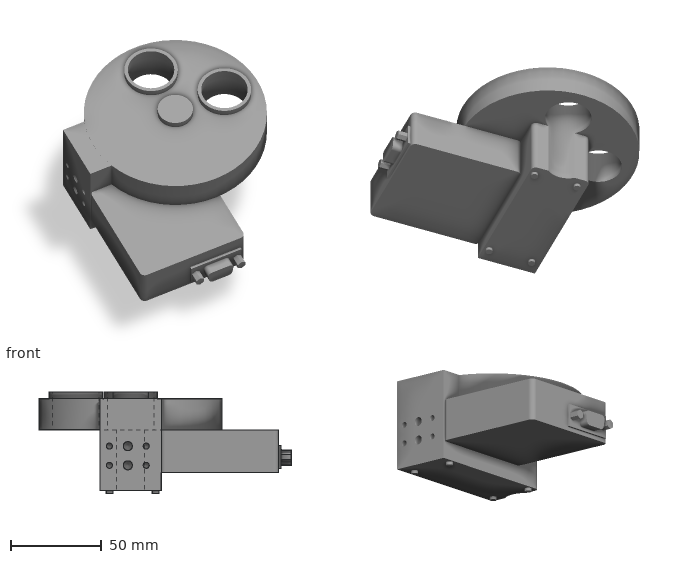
import cadquery as cq
import math


OVERALL_LENGTH = 139.2

WHEEL_RADIUS = 50.5
WHEEL_BOTTOM = 33.4
WHEEL_TOP = 50.7
BOSS_TOP = 54.5
PORT_ORBIT = 30.2
PORT_ANGLES = (90, 180)
PORT_RADIUS = 12.8
COLLAR_RADIUS = 14.8
HUB_RADIUS = 9.7

BLOCK_WIDTH = 34.0
FRONT_Y = -60.7
BLOCK_REAR_Y = 20.0
CORNER_RADIUS = 2.9

HOLE_ROWS = (13.9, 24.5)
SMALL_HOLE_X = (-11.7, 8.6)
SMALL_HOLE_RADIUS = 1.7
LARGE_HOLE_X = -1.5
LARGE_HOLE_RADIUS = 2.5
HOLE_DEPTH = 7.0
DRILL_TIP_ANGLE = 118

FOOT_RADIUS = 2.0
FOOT_HEIGHT = 1.7
FOOT_X = (-11.5, 13.8)
FOOT_Y = (-52.0, 14.5)

BOX_LEFT = 16.4
BOX_RIGHT = 81.7
BOX_BOTTOM = 9.9
BOX_REAR_Y = 2.8

CONNECTOR_Y = -15.7
CONNECTOR_Z = 18.5
FLANGE_LENGTH = 30.9
FLANGE_HEIGHT = 12.8
FLANGE_THICKNESS = 1.4
CONNECTOR_END = OVERALL_LENGTH - WHEEL_RADIUS
SHELL_LENGTH = 16.4
SHELL_HEIGHT = 8.4
SHELL_Z = 18.1
SHELL_SLANT = 10
SHELL_CORNER_RADIUS = 2.4
SHELL_ROOT_RADIUS = 0.3
POST_SIDES = 6
POST_SPACING = 25.3
POST_ACROSS_FLATS = 4.6


def cylinder(radius, bottom, top, x=0, y=0):
    """Upright cylinder between two heights."""
    return cq.Workplane("XY", origin=(x, y, bottom)).circle(radius).extrude(top - bottom)


def port_centers():
    """Centres of the two light ports around the wheel axis."""
    return [
        (PORT_ORBIT * math.cos(math.radians(angle)), PORT_ORBIT * math.sin(math.radians(angle)))
        for angle in PORT_ANGLES
    ]


def build_wheel():
    """Disc with a central hub and a raised collar around each port."""
    wheel = cylinder(WHEEL_RADIUS, WHEEL_BOTTOM, WHEEL_TOP)
    wheel = wheel.union(cylinder(HUB_RADIUS, WHEEL_TOP, BOSS_TOP))
    for x, y in port_centers():
        wheel = wheel.union(cylinder(COLLAR_RADIUS, WHEEL_TOP, BOSS_TOP, x, y))
        wheel = wheel.cut(cylinder(PORT_RADIUS, WHEEL_BOTTOM, BOSS_TOP, x, y))
    return wheel


def build_block():
    """Tall block with rounded rear corners and a seat for the wheel."""
    block = (
        cq.Workplane("XY")
        .center(0, (FRONT_Y + BLOCK_REAR_Y) / 2)
        .rect(BLOCK_WIDTH, BLOCK_REAR_Y - FRONT_Y)
        .extrude(WHEEL_TOP)
        .edges("|Z and >Y")
        .fillet(CORNER_RADIUS)
    )
    return block.cut(cylinder(WHEEL_RADIUS, WHEEL_BOTTOM, WHEEL_TOP))


def build_box():
    """Flat box with rounded upright edges, level with the underside of the wheel."""
    return (
        cq.Workplane("XY", origin=(0, 0, BOX_BOTTOM))
        .center((BOX_LEFT + BOX_RIGHT) / 2, (FRONT_Y + BOX_REAR_Y) / 2)
        .rect(BOX_RIGHT - BOX_LEFT, BOX_REAR_Y - FRONT_Y)
        .extrude(WHEEL_BOTTOM - BOX_BOTTOM)
        .edges("|Z")
        .fillet(CORNER_RADIUS)
    )


def build_connector():
    """Flange plate with a D-shaped shell, wider at the top, and two hexagonal posts."""
    flange_end = BOX_RIGHT + FLANGE_THICKNESS
    reach = CONNECTOR_END - flange_end

    flange = (
        cq.Workplane("YZ", origin=(BOX_RIGHT, CONNECTOR_Y, CONNECTOR_Z))
        .rect(FLANGE_LENGTH, FLANGE_HEIGHT)
        .extrude(FLANGE_THICKNESS)
    )

    half_top = SHELL_LENGTH / 2
    half_bottom = half_top - SHELL_HEIGHT * math.tan(math.radians(SHELL_SLANT))
    shell = (
        cq.Workplane("YZ", origin=(flange_end, CONNECTOR_Y, SHELL_Z))
        .polyline([
            (-half_top, SHELL_HEIGHT / 2),
            (half_top, SHELL_HEIGHT / 2),
            (half_bottom, -SHELL_HEIGHT / 2),
            (-half_bottom, -SHELL_HEIGHT / 2),
        ])
        .close()
        .extrude(reach)
        .edges("|X")
        .fillet(SHELL_CORNER_RADIUS)
    )

    margin = SHELL_ROOT_RADIUS
    root_edges = cq.selectors.BoxSelector(
        (flange_end - margin, CONNECTOR_Y - half_top - margin, SHELL_Z - SHELL_HEIGHT / 2 - margin),
        (flange_end + margin, CONNECTOR_Y + half_top + margin, SHELL_Z + SHELL_HEIGHT / 2 + margin),
        boundingbox=True,
    )
    connector = flange.union(shell).edges(root_edges).fillet(SHELL_ROOT_RADIUS)

    half_corner_turn = 180 / POST_SIDES
    post_across_corners = POST_ACROSS_FLATS / math.cos(math.radians(half_corner_turn))
    for offset in (-POST_SPACING / 2, POST_SPACING / 2):
        post = (
            cq.Workplane("YZ", origin=(flange_end, CONNECTOR_Y + offset, CONNECTOR_Z))
            .transformed(rotate=(0, 0, half_corner_turn))
            .polygon(POST_SIDES, post_across_corners)
            .extrude(reach)
        )
        connector = connector.union(post)
    return connector


def drilled_hole(radius, x, z):
    """Blind drilled hole into the front face, ending in a conical tip."""
    tip_depth = radius / math.tan(math.radians(DRILL_TIP_ANGLE / 2))
    return (
        cq.Workplane("XY", origin=(x, FRONT_Y, z))
        .polyline([(0, 0), (radius, 0), (radius, HOLE_DEPTH), (0, HOLE_DEPTH + tip_depth)])
        .close()
        .revolve(360, (0, 0, 0), (0, 1, 0))
    )


def build_housing():
    """Block, box, connector and feet, with the front holes and port clearances cut."""
    housing = build_block().union(build_box()).union(build_connector())
    for x in FOOT_X:
        for y in FOOT_Y:
            housing = housing.union(cylinder(FOOT_RADIUS, -FOOT_HEIGHT, 0, x, y))
    for z in HOLE_ROWS:
        housing = housing.cut(drilled_hole(LARGE_HOLE_RADIUS, LARGE_HOLE_X, z))
        for x in SMALL_HOLE_X:
            housing = housing.cut(drilled_hole(SMALL_HOLE_RADIUS, x, z))

    for x, y in port_centers():
        housing = housing.cut(cylinder(PORT_RADIUS, 0, WHEEL_BOTTOM, x, y))
    return housing


wheel = build_wheel()
housing = build_housing()

result = cq.Compound.makeCompound([wheel.val(), housing.val()])